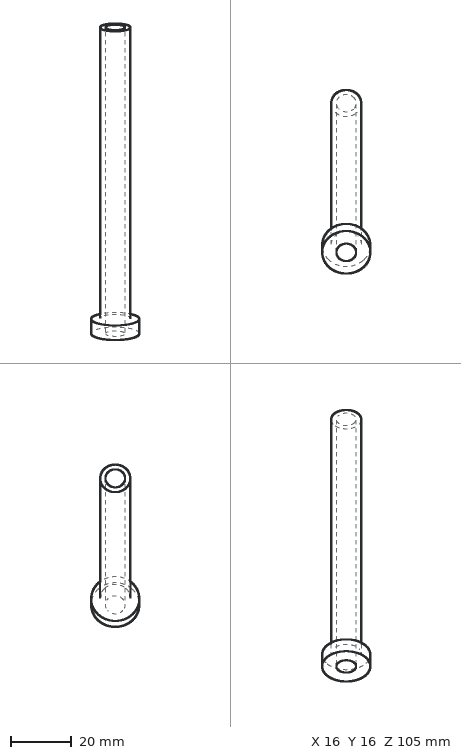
import cadquery as cq

total_length = 105.0
head_diameter = 16.0
head_height = 5.0
shank_diameter = 10.0
bore_diameter = 6.5
neck_fillet = 0.5

head = cq.Workplane("XY").circle(head_diameter / 2).extrude(head_height)
shank = cq.Workplane("XY").circle(shank_diameter / 2).extrude(total_length)
body = head.union(shank)

body = body.edges(cq.selectors.RadiusNthSelector(0)).edges("<Z").fillet(neck_fillet)

bore = cq.Workplane("XY").circle(bore_diameter / 2).extrude(total_length)
result = body.cut(bore)